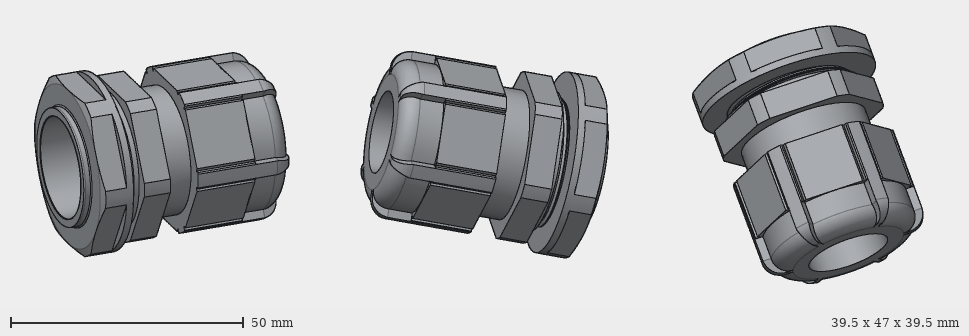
import cadquery as cq
import math


LENGTH = 47.0
NUT_FACE = 1.75
FLANGE_START = 7.2
FLANGE_END = 8.8
COLLAR_START = 10.75
BODY_HEX_START = 11.95
BODY_HEX_END = 18.0
CAP_START = 24.5
CAP_FLATS_END = 37.98

CORNER_COUNT = 6
CORNER_STEP = 360 / CORNER_COUNT

NUT_FLATS = 36.0
NUT_RADIUS = 19.75
NUT_FACE_RADIUS = NUT_FLATS / 2
NUT_CHAMFER_LENGTH = 0.55

TIP_RADIUS = 13.1
TIP_CHAMFER_LENGTH = 0.38
TIP_CHAMFER_WIDTH = 0.1
TIP_FLARE_LENGTH = 0.25
COLLAR_RADIUS = 15.3
NECK_RADIUS = 14.15
HEX_FLATS = 33.0
HEX_CORNER_RADIUS = 18.2

THREAD_PITCH = 1.5
THREAD_TURNS = 3
THREAD_CREST_RADIUS = NECK_RADIUS
THREAD_ROOT_RADIUS = 13.45
THREAD_BASE_WIDTH = 1.4
THREAD_CREST_WIDTH = 0.2
THREAD_OVERLAP = 0.2
THREAD_START = FLANGE_END - THREAD_PITCH

CAP_CORE_RADIUS = 16.35
CAP_CORE_ROUND = 3.75
RIB_ROUND = 4.1
RIB_END_HALF_WIDTH = 0.65

GROOVE_INNER = 6.45
GROOVE_OUTER = 7.3
GROOVE_ANGLE = 60.0

BORE_RADIUS = 11.2
BORE_CHAMFER = 0.15
SEAL_RADIUS = 9.0


def cylinder(radius, start, end):
    return cq.Workplane("XY").workplane(offset=start).circle(radius).extrude(end - start)


def trimmed_hex(flats, corner_radius, start, end):
    """Hexagonal prism with corners on X, trimmed by a cylinder."""
    across_corners = flats / math.cos(math.radians(CORNER_STEP / 2))
    base = cq.Workplane("XY").workplane(offset=start)
    prism = base.polygon(CORNER_COUNT, across_corners).extrude(end - start)
    return prism.intersect(cylinder(corner_radius, start, end))


def make_nut():
    hexagon = trimmed_hex(NUT_FLATS, NUT_RADIUS, NUT_FACE, FLANGE_START)
    envelope = (
        cq.Workplane("XZ")
        .moveTo(0, NUT_FACE)
        .lineTo(NUT_FACE_RADIUS, NUT_FACE)
        .lineTo(NUT_RADIUS, NUT_FACE + NUT_CHAMFER_LENGTH)
        .lineTo(NUT_RADIUS, FLANGE_START)
        .lineTo(0, FLANGE_START)
        .close()
        .revolve(360, (0, 0, 0), (0, 1, 0))
    )
    flange = cylinder(NUT_RADIUS, FLANGE_START, FLANGE_END)
    return hexagon.intersect(envelope).union(flange)


def make_tip():
    """Plain tube end that flares to the thread root at the nut face."""
    return (
        cq.Workplane("XZ")
        .lineTo(TIP_RADIUS - TIP_CHAMFER_WIDTH, 0)
        .lineTo(TIP_RADIUS, TIP_CHAMFER_LENGTH)
        .lineTo(TIP_RADIUS, NUT_FACE - TIP_FLARE_LENGTH)
        .lineTo(THREAD_ROOT_RADIUS, NUT_FACE)
        .lineTo(THREAD_ROOT_RADIUS, FLANGE_START)
        .lineTo(0, FLANGE_START)
        .close()
        .revolve(360, (0, 0, 0), (0, 1, 0))
    )


def make_thread():
    """Right-handed ridge whose ends are buried in the nut and the body hexagon."""
    inner = THREAD_ROOT_RADIUS - THREAD_OVERLAP
    helix = cq.Wire.makeHelix(
        THREAD_PITCH, THREAD_PITCH * THREAD_TURNS, inner, cq.Vector(0, 0, THREAD_START)
    )
    ridge = (
        cq.Workplane("XZ")
        .moveTo(inner, THREAD_START - THREAD_BASE_WIDTH / 2)
        .lineTo(THREAD_CREST_RADIUS, THREAD_START - THREAD_CREST_WIDTH / 2)
        .lineTo(THREAD_CREST_RADIUS, THREAD_START + THREAD_CREST_WIDTH / 2)
        .lineTo(inner, THREAD_START + THREAD_BASE_WIDTH / 2)
        .close()
        .sweep(cq.Workplane(obj=helix), isFrenet=True)
    )
    return ridge.union(cylinder(THREAD_ROOT_RADIUS, FLANGE_START, BODY_HEX_START))


def make_body():
    collar = cylinder(COLLAR_RADIUS, COLLAR_START, BODY_HEX_START)
    hexagon = trimmed_hex(HEX_FLATS, HEX_CORNER_RADIUS, BODY_HEX_START, BODY_HEX_END)
    neck = cylinder(NECK_RADIUS, BODY_HEX_END, CAP_START)
    return collar.union(hexagon).union(neck)


def make_ribs():
    """Six parallel-sided corner ribs that narrow along their rounded ends."""
    flat_half_width = math.sqrt(HEX_CORNER_RADIUS**2 - (HEX_FLATS / 2) ** 2)
    corner_half_angle = math.radians(CORNER_STEP / 2) - math.atan2(flat_half_width, HEX_FLATS / 2)
    half_width = HEX_CORNER_RADIUS * math.sin(corner_half_angle)
    taper_start = LENGTH - CAP_CORE_ROUND
    blade = (
        cq.Workplane("YZ")
        .moveTo(-half_width, CAP_START)
        .lineTo(half_width, CAP_START)
        .lineTo(half_width, taper_start)
        .lineTo(RIB_END_HALF_WIDTH, LENGTH)
        .lineTo(-RIB_END_HALF_WIDTH, LENGTH)
        .lineTo(-half_width, taper_start)
        .close()
        .extrude(HEX_CORNER_RADIUS)
    )
    blades = blade
    for index in range(1, CORNER_COUNT):
        blades = blades.union(blade.rotate((0, 0, 0), (0, 0, 1), index * CORNER_STEP))
    envelope = cylinder(HEX_CORNER_RADIUS, CAP_START, LENGTH).faces(">Z").edges().fillet(RIB_ROUND)
    return blades.intersect(envelope)


def make_groove_cutters():
    flat = HEX_FLATS / 2
    middle = (GROOVE_INNER + GROOVE_OUTER) / 2
    half_width = (GROOVE_OUTER - GROOVE_INNER) / 2
    depth = half_width / math.tan(math.radians(GROOVE_ANGLE / 2))
    cutters = cq.Workplane("XY")
    for side in (-1, 1):
        groove = (
            cq.Workplane("XY")
            .workplane(offset=CAP_START)
            .moveTo(side * GROOVE_INNER, flat)
            .lineTo(side * middle, flat - depth)
            .lineTo(side * GROOVE_OUTER, flat)
            .close()
            .extrude(CAP_FLATS_END - CAP_START)
        )
        for index in range(CORNER_COUNT):
            cutters = cutters.add(groove.rotate((0, 0, 0), (0, 0, 1), index * CORNER_STEP))
    return cutters.combine()


def make_cap():
    core = cylinder(CAP_CORE_RADIUS, CAP_START, LENGTH).faces(">Z").edges().fillet(CAP_CORE_ROUND)
    flats = trimmed_hex(HEX_FLATS, HEX_CORNER_RADIUS, CAP_START, CAP_FLATS_END)
    return core.union(flats).cut(make_groove_cutters()).union(make_ribs())


def make_passage():
    """Wide bore up to the cap, then the narrower opening of the seal."""
    return (
        cq.Workplane("XZ")
        .lineTo(BORE_RADIUS + BORE_CHAMFER, 0)
        .lineTo(BORE_RADIUS, BORE_CHAMFER)
        .lineTo(BORE_RADIUS, CAP_START)
        .lineTo(SEAL_RADIUS, CAP_START)
        .lineTo(SEAL_RADIUS, LENGTH)
        .lineTo(0, LENGTH)
        .close()
        .revolve(360, (0, 0, 0), (0, 1, 0))
    )


gland = make_nut().union(make_tip()).union(make_thread()).union(make_body()).union(make_cap())
gland = gland.cut(make_passage())
result = gland.rotate((0, 0, 0), (1, 0, 0), -90)